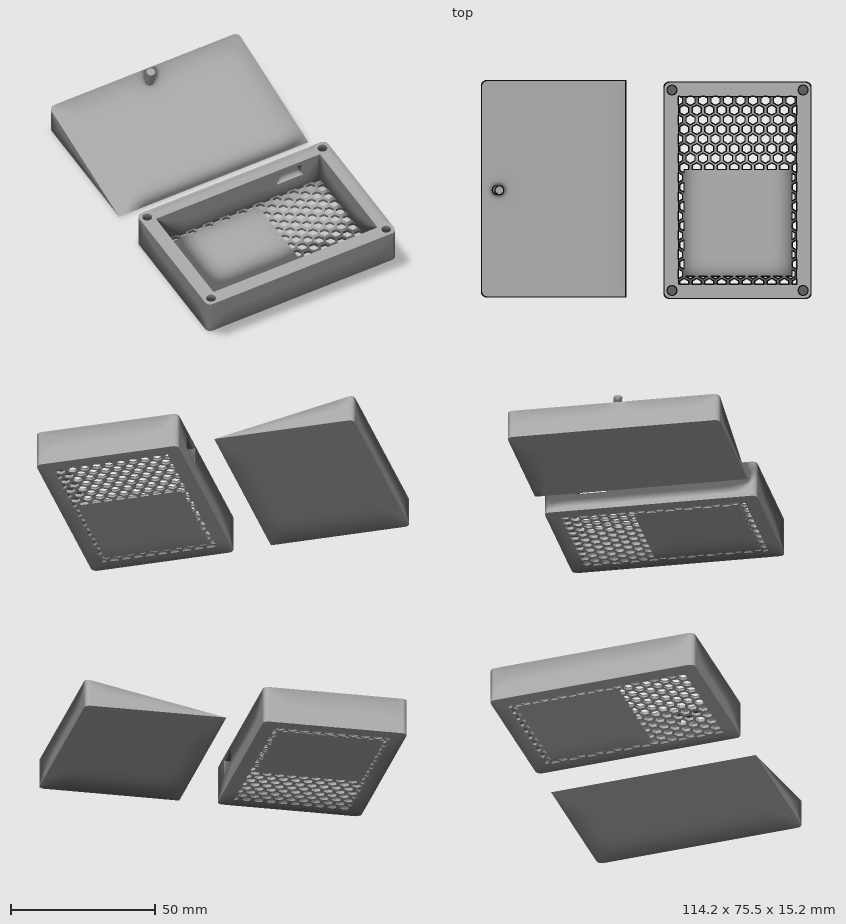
import cadquery as cq
import math

corner_radius = 2.0

box_x = 51.0
box_y = 75.0
box_z = 13.0
wall = 5.0
screw_hole_diameter = 3.4
screw_hole_inset = 2.8
screw_hole_depth = 10.0

window_width = 10.4
window_height = 5.0
window_chamfer = 0.5
window_y = box_y / 2 + 20.6
window_z = 8.9

grille_thickness = 1.0
hexagon_sides = 6
hex_across_flats = 3.0
hex_pitch_x = 4.33
hex_pitch_y = 3.335
hex_first_x = 4.87
hex_first_y = 68.59
pad_x = 37.5
pad_y = 37.0
pad_center_x = box_x / 2 + 0.2
pad_center_y = box_y / 2 - 11.3

wedge_x = 50.0
wedge_y = 75.0
wedge_z = 10.0
gap_to_box = 13.19
wedge_left = -gap_to_box - wedge_x
wedge_front = 0.52
wedge_bottom = 0.3

pin_diameter = 3.0
pin_length = 5.79
pin_socket_depth = 3.0
pin_from_edge = 5.25
pin_tilt = 10.0
pin_y = box_y / 2

cavity_x = box_x - 2 * wall
cavity_y = box_y - 2 * wall


def corner_block(size_x, size_y, size_z):
    """Block with its lower corner at the origin."""
    return cq.Workplane("XY").box(size_x, size_y, size_z, centered=False)


def make_cable_window():
    """Cutter for the window: a straight opening with a chamfered outer mouth."""
    opening = cq.Workplane("XY").box(wall, window_width, window_height, centered=(False, True, True))
    mouth_width = window_width + 2 * window_chamfer
    mouth_height = window_height + 2 * window_chamfer
    mouth = (
        cq.Workplane("YZ")
        .rect(mouth_width, mouth_height)
        .workplane(offset=window_chamfer)
        .rect(window_width, window_height)
        .loft(ruled=True)
    )
    return opening.union(mouth).translate((0, window_y, window_z))


def make_box():
    """Rectangular frame with corner screw holes and a cable window."""
    cavity = corner_block(cavity_x, cavity_y, box_z).translate((wall, wall, 0))
    return (
        corner_block(box_x, box_y, box_z)
        .edges("|Z")
        .fillet(corner_radius)
        .faces(">Z")
        .workplane(centerOption="CenterOfBoundBox")
        .rect(box_x - 2 * screw_hole_inset, box_y - 2 * screw_hole_inset, forConstruction=True)
        .vertices()
        .hole(screw_hole_diameter, screw_hole_depth)
        .cut(cavity)
        .cut(make_cable_window())
    )


def make_grille():
    """Plate of staggered hexagonal holes with a solid rectangular pad."""
    columns = math.ceil(cavity_x / hex_pitch_x) + 1
    rows = math.ceil(cavity_y / hex_pitch_y) + 1
    centers = []
    for row in range(rows):
        stagger = (row % 2) * hex_pitch_x / 2
        for column in range(columns):
            x = hex_first_x + stagger + column * hex_pitch_x
            y = hex_first_y - row * hex_pitch_y
            centers.append((x, y))
    hexagon = cq.Sketch().regularPolygon(hex_across_flats / math.sqrt(3), hexagon_sides)
    holes = cq.Workplane("XY").pushPoints(centers).placeSketch(hexagon).extrude(grille_thickness)
    pad = (
        cq.Workplane("XY")
        .box(pad_x, pad_y, grille_thickness, centered=(True, True, False))
        .translate((pad_center_x, pad_center_y, 0))
    )
    plate = corner_block(cavity_x, cavity_y, grille_thickness).translate((wall, wall, 0))
    return plate.cut(holes.cut(pad))


def make_pin():
    """Leaning cylinder with its lower end sunk in the wedge."""
    base_z = wedge_z * (1 - pin_from_edge / wedge_x)
    return (
        cq.Workplane("XY")
        .circle(pin_diameter / 2)
        .extrude(pin_length + pin_socket_depth)
        .translate((0, 0, -pin_socket_depth))
        .rotate((0, 0, 0), (0, 1, 0), pin_tilt)
        .translate((wedge_left + pin_from_edge, pin_y, wedge_bottom + base_z))
    )


def make_wedge(pin):
    """Sloping foot with a socket for the pin."""
    return (
        cq.Workplane("XZ")
        .polyline([(0, 0), (wedge_x, 0), (0, wedge_z)])
        .close()
        .extrude(-wedge_y)
        .edges("|Z")
        .fillet(corner_radius)
        .translate((wedge_left, wedge_front, wedge_bottom))
        .cut(pin)
    )


box = make_box()
grille = make_grille()
pin = make_pin()
wedge = make_wedge(pin)

result = cq.Compound.makeCompound(
    [
        *box.solids().vals(),
        *grille.solids().vals(),
        *pin.solids().vals(),
        *wedge.solids().vals(),
    ]
)